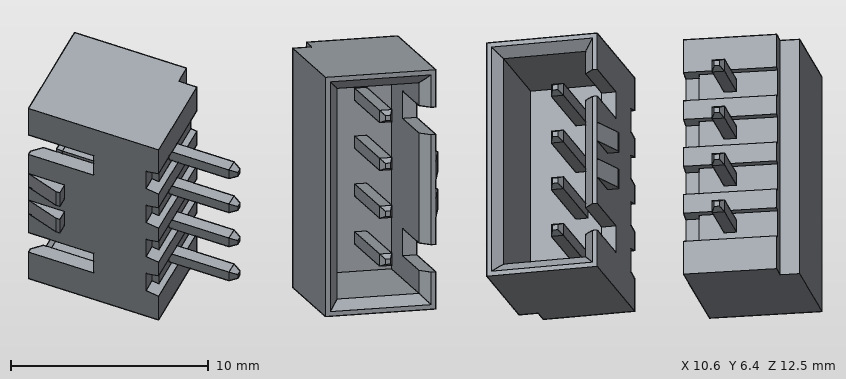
import cadquery as cq


housing_length = 7.2
housing_depth = 5.8
housing_height = 12.5
rear_step = 1.0

lip = 0.25
mouth_chamfer = 0.5
wall = lip + mouth_chamfer
rear_wall = 1.5
socket_length = housing_length - rear_wall

slot_length = housing_length / 2
slot_width = 1.42
slot_centre = 3.59

latch_length = 2.0
latch_flat = 0.22
latch_height = 0.6
latch_width = 1.0
latch_centre = 0.98

pin_count = 4
pin_pitch = 2.5
pin_size = 0.64
pin_y = 2.36
pin_start = 0.58
pin_end = 10.6
tip_length = 0.41
tip_size = 0.28

notch_floor = 1.25
notch_mouth = 1.5
notch_depth = 0.7
notch_shallow_depth = 0.32

pin_heights = [(i - (pin_count - 1) / 2) * pin_pitch for i in range(pin_count)]


def box(x_range, y_range, z_range):
    """Box given by its limits along each axis."""
    size = [high - low for low, high in (x_range, y_range, z_range)]
    corner = (x_range[0], y_range[0], z_range[0])
    return cq.Workplane("XY").box(*size, centered=False).translate(corner)


def frustum(x_start, length, centre, start_size, end_size):
    """Rectangular frustum along X; centre and sizes are (Y, Z) pairs."""
    return (
        cq.Workplane("YZ", origin=(x_start, *centre))
        .rect(*start_size)
        .workplane(offset=length)
        .rect(*end_size)
        .loft(ruled=True)
    )


def housing_block():
    """Outer block with the step along its rear +Y edge."""
    half_height = housing_height / 2
    z_range = (-half_height, half_height)
    block = box((0, housing_length), (0, housing_depth), z_range)
    step = box(
        (housing_length - rear_step, housing_length),
        (housing_depth - rear_step, housing_depth),
        z_range,
    )
    return block.cut(step)


def socket():
    """Rectangular cavity with a chamfered mouth."""
    centre = (housing_depth / 2, 0)
    inner = (housing_depth - 2 * wall, housing_height - 2 * wall)
    outer = (housing_depth - 2 * lip, housing_height - 2 * lip)
    cavity = frustum(0, socket_length, centre, inner, inner)
    return cavity.union(frustum(0, mouth_chamfer, centre, outer, inner))


def slot(z):
    """Slot through the latch wall."""
    return box((0, slot_length), (0, wall), (z - slot_width / 2, z + slot_width / 2))


def notch(z):
    """Rear notch through the whole depth, deeper across the latch wall."""
    x_floor = housing_length - notch_depth
    tapered = (
        cq.Workplane("XZ", origin=(0, 0, z))
        .polyline([
            (x_floor, -notch_floor / 2),
            (housing_length, -notch_mouth / 2),
            (housing_length, notch_mouth / 2),
            (x_floor, notch_floor / 2),
        ])
        .close()
        .extrude(-housing_depth)
    )
    kept_floor = box(
        (x_floor, housing_length - notch_shallow_depth),
        (wall, housing_depth),
        (z - notch_mouth / 2, z + notch_mouth / 2),
    )
    return tapered.cut(kept_floor)


def latch(z):
    """Ramp rising from the mouth to a short flat."""
    return (
        cq.Workplane("XY", origin=(0, 0, z - latch_width / 2))
        .polyline([
            (0, 0),
            (latch_length - latch_flat, -latch_height),
            (latch_length, -latch_height),
            (latch_length, 0),
        ])
        .close()
        .extrude(latch_width)
    )


def pin(z):
    """Square pin with a tapered tip at each end."""
    centre = (pin_y, z)
    full = (pin_size, pin_size)
    tip = (tip_size, tip_size)
    shank_length = pin_end - pin_start - 2 * tip_length
    shank = frustum(pin_start + tip_length, shank_length, centre, full, full)
    front_tip = frustum(pin_start, tip_length, centre, tip, full)
    rear_tip = frustum(pin_end - tip_length, tip_length, centre, full, tip)
    return shank.union(front_tip).union(rear_tip)


result = housing_block().cut(socket())

for side in (-1, 1):
    result = result.cut(slot(side * slot_centre))
    result = result.union(latch(side * latch_centre))

for height in pin_heights:
    result = result.cut(notch(height))
    result = result.union(pin(height))